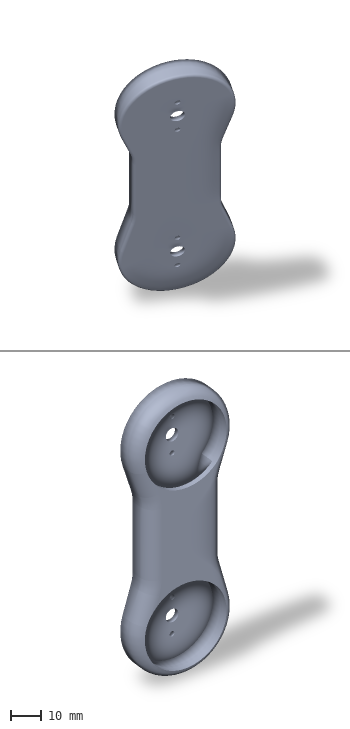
import cadquery as cq
import math

total_length = 109.7
end_diameter = 40.0
thickness = 10.0
waist_width = 30.1

neck_radius = 15.0
neck_upper_right = 16.8
neck_upper_left = 16.1
neck_lower_right = 14.2
neck_lower_left = 15.8

front_fillet = 5.0
back_fillet = 1.0

opening_diameter = 33.0
skin = 2.0
floor = 2.0
center_hole_diameter = 5.0
screw_hole_diameter = 2.0
screw_hole_offset = 7.0

end_radius = end_diameter / 2
end_center = total_length / 2 - end_radius
end_centers = [(0, end_center), (0, -end_center)]


def neck_points(y_sign, z_sign, corner_z, inset):
    """Return waist end, arc middle, slope start and end-circle tangent of one neck."""
    half_waist = waist_width / 2
    rise = end_center - corner_z
    to_corner = math.hypot(half_waist, rise)
    slope = math.atan2(rise, half_waist) - math.acos(end_radius / to_corner)

    arc_y = half_waist + neck_radius
    arc_z = corner_z - neck_radius * math.tan(slope / 2)
    arc_radius = neck_radius + inset
    points = [
        (arc_y - arc_radius * math.cos(angle), arc_z + arc_radius * math.sin(angle))
        for angle in (0, slope / 2, slope)
    ]
    circle_radius = end_radius - inset
    tangent_z = end_center - circle_radius * math.sin(slope)
    points.append((circle_radius * math.cos(slope), tangent_z))
    return [(y_sign * y, z_sign * z) for y, z in points]


def outline(inset, start_x):
    """Draw the closed dumbbell outline, moved inward by inset, on the plane X = start_x."""
    upper_right = neck_points(-1, 1, neck_upper_right, inset)
    upper_left = neck_points(1, 1, neck_upper_left, inset)
    lower_left = neck_points(1, -1, neck_lower_left, inset)
    lower_right = neck_points(-1, -1, neck_lower_right, inset)
    tip_z = end_center + end_radius - inset

    sketch = cq.Workplane("YZ", origin=(start_x, 0, 0)).moveTo(*lower_right[0])
    for rising, falling, tip in (
        (upper_right, upper_left, (0, tip_z)),
        (lower_left, lower_right, (0, -tip_z)),
    ):
        sketch = sketch.lineTo(*rising[0]).threePointArc(rising[1], rising[2])
        sketch = sketch.lineTo(*rising[3]).threePointArc(tip, falling[3])
        sketch = sketch.lineTo(*falling[2]).threePointArc(falling[1], falling[0])
    return sketch.wire()


def round_cut(centers, diameter, depth):
    """Make cylinders along +X from the front face, to be cut from the body."""
    sketch = cq.Workplane("YZ").pushPoints(centers)
    return sketch.circle(diameter / 2).extrude(depth)


body = outline(0, 0).extrude(thickness)
body = body.faces("<X").edges().fillet(front_fillet)
body = body.faces(">X").edges().fillet(back_fillet)

pockets = round_cut(end_centers, opening_diameter, thickness - floor)
channel = outline(front_fillet, skin).extrude(thickness - skin - floor)
body = body.cut(pockets.union(channel).clean())

screw_centers = [
    (y, z + offset)
    for y, z in end_centers
    for offset in (screw_hole_offset, -screw_hole_offset)
]
body = body.cut(round_cut(end_centers, center_hole_diameter, thickness))
body = body.cut(round_cut(screw_centers, screw_hole_diameter, thickness))

result = body